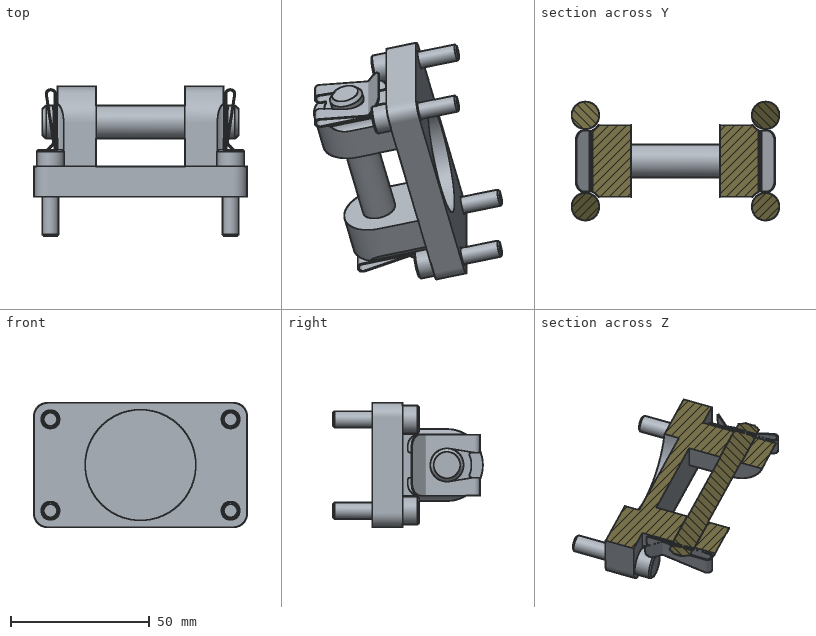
import cadquery as cq
import math

plate_length = 77.0
plate_height = 45.0
plate_thickness = 11.0
plate_corner_radius = 5.0
recess_diameter = 40.0
recess_depth = 5.55

pin_height = 27.0
lug_radius = 13.0
lug_inner_x = 16.0
lug_outer_x = 30.0

pin_diameter = 12.0
pin_half_length = 35.5
pin_end_chamfer_length = 1.5
pin_end_chamfer_height = 1.2
groove_diameter = 9.0
groove_width = 1.0

screw_x = 32.5
screw_z = 16.5
screw_diameter = 6.0
screw_hole_diameter = 6.6
screw_reach = 14.1
screw_tip_chamfer = 0.6
head_diameter = 10.0
head_height = 6.0
head_chamfer = 0.6
head_relief_diameter = 11.8

sheet_thickness = 0.5
clip_gap = 0.5
clip_width = 22.0
clip_slot_width = groove_diameter
clip_end_y = 12.9
clip_corner_radius = 4.0
clip_slot_corner_radius = 0.8
clip_tab_radius = 8.85
loop_radius = 1.85
loop_center_y = 37.1
spring_leg_angle = 8.7
spring_leg_length = 17.5
lip_bend_radius = 0.3
lip_angle = 43.0
lip_length = 6.5

straight_leg_inner_x = lug_outer_x + clip_gap
straight_leg_outer_x = straight_leg_inner_x + sheet_thickness
half_slot = clip_slot_width / 2
screw_positions = [(x, z) for x in (-screw_x, screw_x) for z in (-screw_z, screw_z)]


def cylinder_along_x(diameter, start_x, end_x):
    """Cylinder about the pin axis."""
    return cq.Workplane(
        cq.Solid.makeCylinder(
            diameter / 2, end_x - start_x, cq.Vector(start_x, pin_height, 0), cq.Vector(1, 0, 0)
        )
    )


def cylinder_along_y(diameter, start_y, end_y, x=0.0, z=0.0):
    return cq.Workplane(
        cq.Solid.makeCylinder(
            diameter / 2, end_y - start_y, cq.Vector(x, start_y, z), cq.Vector(0, 1, 0)
        )
    )


def make_plate():
    plate = (
        cq.Workplane("XZ")
        .rect(plate_length, plate_height)
        .extrude(-plate_thickness)
        .edges("|Y")
        .fillet(plate_corner_radius)
    )
    return plate.cut(cylinder_along_y(recess_diameter, 0, recess_depth))


def make_lug(inner_x, outer_x):
    """Lug standing on the plate, with its end rounded about the pin axis."""
    return (
        cq.Workplane("YZ", origin=(inner_x, 0, 0))
        .moveTo(plate_thickness, -lug_radius)
        .lineTo(pin_height, -lug_radius)
        .threePointArc((pin_height + lug_radius, 0), (pin_height, lug_radius))
        .lineTo(plate_thickness, lug_radius)
        .close()
        .extrude(outer_x - inner_x)
    )


def make_bracket():
    bracket = make_plate()
    bracket = bracket.union(make_lug(-lug_outer_x, -lug_inner_x))
    bracket = bracket.union(make_lug(lug_inner_x, lug_outer_x))
    bracket = bracket.cut(cylinder_along_x(pin_diameter, -lug_outer_x, lug_outer_x))
    lug_end_y = pin_height + lug_radius
    for x, z in screw_positions:
        bracket = bracket.cut(cylinder_along_y(screw_hole_diameter, 0, plate_thickness, x, z))
        bracket = bracket.cut(cylinder_along_y(head_relief_diameter, plate_thickness, lug_end_y, x, z))
    return bracket


def make_pin_end_ring(end_sign):
    """Ring that bevels the pin at its +X end (end_sign 1) or -X end (end_sign -1)."""
    pin_radius = pin_diameter / 2
    end_x = end_sign * pin_half_length
    bevel_start_x = end_x - end_sign * pin_end_chamfer_length
    return (
        cq.Workplane("XY")
        .moveTo(bevel_start_x, pin_height + pin_radius)
        .lineTo(end_x, pin_height + pin_radius)
        .lineTo(end_x, pin_height + pin_radius - pin_end_chamfer_height)
        .close()
        .revolve(360, (0, pin_height, 0), (1, pin_height, 0))
    )


def make_pin():
    pin = cylinder_along_x(pin_diameter, -pin_half_length, pin_half_length)
    for end_sign in (-1, 1):
        pin = pin.cut(make_pin_end_ring(end_sign))
    for start_x in (straight_leg_inner_x, -straight_leg_inner_x - groove_width):
        end_x = start_x + groove_width
        ring = cylinder_along_x(pin_diameter, start_x, end_x)
        ring = ring.cut(cylinder_along_x(groove_diameter, start_x, end_x))
        pin = pin.cut(ring)
    return pin


def make_screw(x, z):
    head = cylinder_along_y(head_diameter, plate_thickness, plate_thickness + head_height, x, z)
    head = head.faces(">Y").chamfer(head_chamfer)
    shank = cylinder_along_y(screw_diameter, -screw_reach, plate_thickness, x, z)
    shank = shank.faces("<Y").chamfer(screw_tip_chamfer)
    return head.union(shank)


def make_clip_strip():
    """Full-width bent strip: straight leg, loop, sloping spring leg and flared lip."""
    lean = math.radians(spring_leg_angle)
    flare = math.radians(lip_angle)
    leg_direction = cq.Vector(-math.sin(lean), -math.cos(lean))
    leg_normal = cq.Vector(math.cos(lean), -math.sin(lean))
    lip_direction = cq.Vector(math.sin(flare), -math.cos(flare))
    lip_normal = cq.Vector(math.cos(flare), math.sin(flare))
    bend_middle_normal = (leg_normal + lip_normal).normalized()

    loop_center = cq.Vector(straight_leg_inner_x + loop_radius, loop_center_y)
    loop_inner_radius = loop_radius - sheet_thickness
    leg_start_inner = loop_center + leg_normal * loop_inner_radius
    leg_start_outer = loop_center + leg_normal * loop_radius

    bend_inner_radius = lip_bend_radius + sheet_thickness
    leg_end_inner = leg_start_inner + leg_direction * spring_leg_length
    bend_center = leg_end_inner + leg_normal * bend_inner_radius
    leg_end_outer = bend_center - leg_normal * lip_bend_radius
    bend_middle_inner = bend_center - bend_middle_normal * bend_inner_radius
    bend_middle_outer = bend_center - bend_middle_normal * lip_bend_radius
    lip_start_inner = bend_center - lip_normal * bend_inner_radius
    lip_start_outer = bend_center - lip_normal * lip_bend_radius
    lip_end_inner = lip_start_inner + lip_direction * lip_length
    lip_end_outer = lip_start_outer + lip_direction * lip_length

    strip = (
        cq.Workplane("XY", origin=(0, 0, -clip_width / 2))
        .moveTo(straight_leg_inner_x, clip_end_y)
        .lineTo(straight_leg_inner_x, loop_center_y)
        .threePointArc(
            (loop_center.x, loop_center.y + loop_radius), (leg_start_outer.x, leg_start_outer.y)
        )
        .lineTo(leg_end_outer.x, leg_end_outer.y)
        .threePointArc(
            (bend_middle_outer.x, bend_middle_outer.y), (lip_start_outer.x, lip_start_outer.y)
        )
        .lineTo(lip_end_outer.x, lip_end_outer.y)
        .lineTo(lip_end_inner.x, lip_end_inner.y)
        .lineTo(lip_start_inner.x, lip_start_inner.y)
        .threePointArc(
            (bend_middle_inner.x, bend_middle_inner.y), (leg_end_inner.x, leg_end_inner.y)
        )
        .lineTo(leg_start_inner.x, leg_start_inner.y)
        .threePointArc(
            (loop_center.x, loop_center.y + loop_inner_radius), (straight_leg_outer_x, loop_center_y)
        )
        .lineTo(straight_leg_outer_x, clip_end_y)
        .close()
        .extrude(clip_width)
    )
    return strip.edges(cq.selectors.ParallelDirSelector(lip_normal)).fillet(clip_corner_radius)


def make_straight_leg_cutter():
    """Open slot that slides over the pin groove, and the notch above the tab."""
    leg_plane = cq.Workplane("YZ", origin=(straight_leg_inner_x, 0, 0))
    slot = (
        leg_plane
        .moveTo(clip_end_y, -half_slot)
        .lineTo(pin_height, -half_slot)
        .threePointArc((pin_height + half_slot, 0), (pin_height, half_slot))
        .lineTo(clip_end_y, half_slot)
        .close()
        .extrude(sheet_thickness)
    )
    top_y = loop_center_y + loop_radius
    notch = (
        leg_plane
        .center((pin_height + top_y) / 2, 0)
        .rect(top_y - pin_height, clip_slot_width)
        .extrude(sheet_thickness)
        .cut(cylinder_along_x(2 * clip_tab_radius, straight_leg_inner_x, straight_leg_outer_x))
        .edges("|X and <Y")
        .fillet(clip_slot_corner_radius)
    )
    return slot.union(notch)


def make_spring_leg_cutter():
    """Keyhole around the pin end, its sides tangent to the pin, running out through the loop."""
    pin_radius = pin_diameter / 2
    taper_end_y = loop_center_y - loop_radius * math.sin(math.radians(spring_leg_angle))
    taper_height = taper_end_y - pin_height
    corner_distance = math.hypot(taper_height, half_slot)
    tangent_angle = math.atan2(half_slot, taper_height) + math.acos(pin_radius / corner_distance)
    tangent_y = pin_height + pin_radius * math.cos(tangent_angle)
    tangent_z = pin_radius * math.sin(tangent_angle)
    top_y = loop_center_y + loop_radius
    return (
        cq.Workplane("YZ", origin=(straight_leg_outer_x, 0, 0))
        .moveTo(top_y, -half_slot)
        .lineTo(taper_end_y, -half_slot)
        .lineTo(tangent_y, -tangent_z)
        .threePointArc((pin_height - pin_radius, 0), (tangent_y, tangent_z))
        .lineTo(taper_end_y, half_slot)
        .lineTo(top_y, half_slot)
        .close()
        .extrude(2 * loop_radius)
    )


def make_clip():
    """Clip at the +X end of the pin."""
    clip = make_clip_strip().cut(make_straight_leg_cutter()).cut(make_spring_leg_cutter())
    clip = clip.faces("<Y").edges("|X and (not >Z) and (not <Z)").fillet(clip_slot_corner_radius)
    return clip.faces("<Y").edges(">Z or <Z").fillet(clip_corner_radius)


bracket = make_bracket()
pin = make_pin()
screws = [make_screw(x, z) for x, z in screw_positions]
right_clip = make_clip()
clips = [right_clip, right_clip.mirror("YZ")]

result = cq.Compound.makeCompound(
    [bracket.val(), pin.val(), *[screw.val() for screw in screws], *[clip.val() for clip in clips]]
)